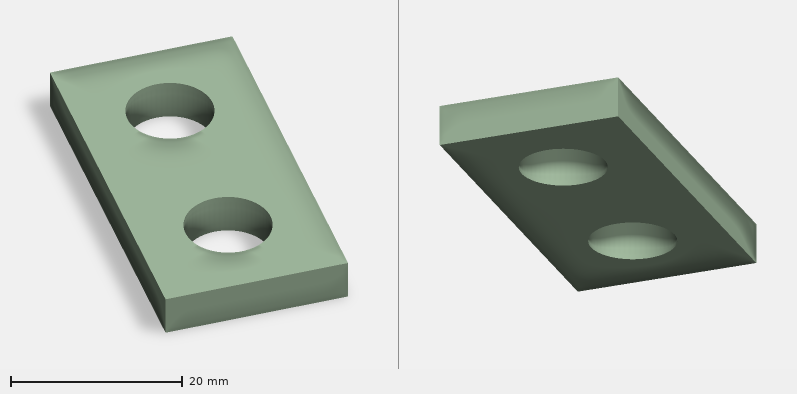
import cadquery as cq

plate_length = 44.45
plate_width = 22.35
plate_thickness = 5.0

hole_diameter = 10.41
hole_spacing = 22.35


def make_plate():
    """Rectangular plate centred on the origin in X and Y, resting on Z = 0."""
    return cq.Workplane("XY").box(
        plate_length, plate_width, plate_thickness, centered=(True, True, False)
    )


def cut_holes(plate):
    """Cut the pair of through holes."""
    hole_centers = [(-hole_spacing / 2, 0), (hole_spacing / 2, 0)]
    return plate.faces(">Z").workplane().pushPoints(hole_centers).hole(hole_diameter)


result = cut_holes(make_plate())